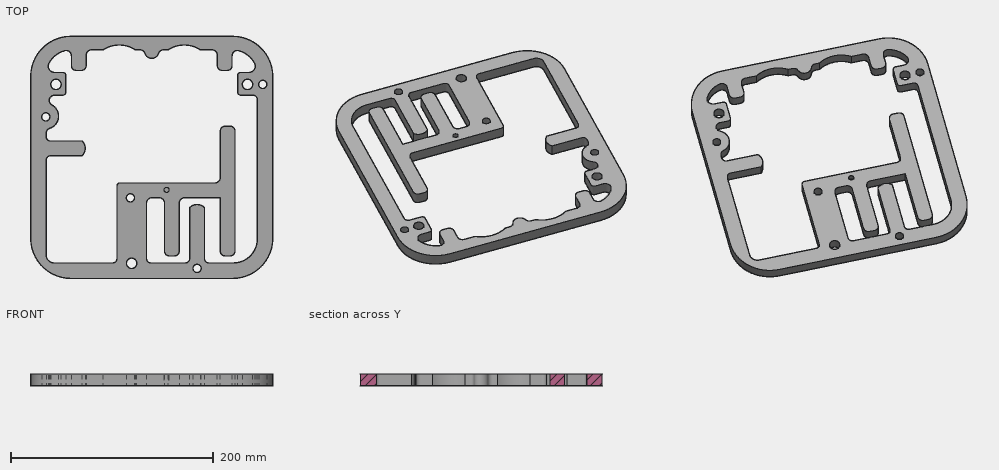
import cadquery as cq

SIDE = 240.0
THICKNESS = 12.0
OUTER_RADIUS = 40.0
WALL = 15.5
TOP_WALL = 13.7
INNER = SIDE / 2 - WALL
CEILING = SIDE / 2 - TOP_WALL
TOP_CORNER_RADIUS = OUTER_RADIUS - WALL
BOTTOM_RIGHT_RADIUS = 23.5
BOTTOM_LEFT_RADIUS = 7.7

FINGER = 15.0
TIP_RADIUS = 5.0
ARCHED_TIP_RADIUS = 10.0
ROOT_RADIUS = 4.0
WIDE_ROOT_RADIUS = 5.0
CORNER_RADIUS = 3.0
EMBED = 2.5
ROOT_LINE = -INNER - EMBED

TOP_FINGER_X = 72.2
TOP_FINGER_END = 86.0
TAB_END_X = 85.0
TAB_TOP = 84.2
TAB_BOTTOM = 61.5
POCKET_RADIUS = 6.0
SCALLOP_X = 32.2
SCALLOP_RADIUS = 29.5
SCALLOP_APEX = 111.0
NUB_RADIUS = 7.2
NUB_END = 98.0
NUB_FILLET = 4.8

BOSS_X = -105.0
BOSS_Y = 40.8
BOSS_RADIUS = 12.7
HOLLOW_RADIUS = 5.0
ARM_Y = 9.0
ARM_END_X = -65.8

BLOCK_LEFT = -34.5
BLOCK_RIGHT = -5.0
BAR_TOP = -25.2
BAR_BOTTOM = BAR_TOP - FINGER
HANGING_X = 20.0
LONG_X = 75.0
LONG_TOP = 31.0
FINGER_BOTTOM = -97.7
RISING_X = 45.0
RISING_TOP = -46.5

LARGE_HOLE = 10.0
SMALL_HOLE = 8.0
LARGE_HOLES = [(-94.8, 72.2), (94.8, 72.2), (-20.0, -105.0)]
SMALL_HOLES = [(BOSS_X, 40.0), (110.0, 72.2), (-21.0, -40.0), (RISING_X, -110.0)]
BLIND_HOLE = 5.0
BLIND_DEPTH = 6.0
BLIND_POINT = (14.6, -32.2)


def block(x0, x1, y0, y1):
    """Full-thickness box between two X and two Y limits."""
    return cq.Workplane().box(x1 - x0, y1 - y0, THICKNESS, centered=False).translate((x0, y0, 0))


def disc(x, y, radius):
    return cq.Workplane().center(x, y).circle(radius).extrude(THICKNESS)


def arched_finger(length):
    """Finger lying along +X from the origin, ending in a shallow arc."""
    half_width = FINGER / 2
    arc_rise = ARCHED_TIP_RADIUS - (ARCHED_TIP_RADIUS**2 - half_width**2) ** 0.5
    shoulder = length - arc_rise
    outline = cq.Workplane().moveTo(0, -half_width).lineTo(shoulder, -half_width)
    outline = outline.threePointArc((length, 0), (shoulder, half_width)).lineTo(0, half_width)
    return outline.close().extrude(THICKNESS)


def round_edges(body, radius, points):
    """Fillet the vertical edges standing at the given XY points."""
    for x, y in points:
        nearest = cq.selectors.NearestToPointSelector((x, y, THICKNESS / 2))
        body = body.edges("|Z").edges(nearest).fillet(radius)
    return body


def mirrored(points):
    return points + [(-x, y) for x, y in points]


opening = block(-INNER, INNER, -INNER, CEILING)
opening = round_edges(opening, TOP_CORNER_RADIUS, mirrored([(INNER, CEILING)]))
opening = round_edges(opening, BOTTOM_RIGHT_RADIUS, [(INNER, -INNER)])
opening = round_edges(opening, BOTTOM_LEFT_RADIUS, [(-INNER, -INNER)])
for x in (-SCALLOP_X, SCALLOP_X):
    opening = opening.union(disc(x, SCALLOP_APEX - SCALLOP_RADIUS, SCALLOP_RADIUS))

frame = cq.Workplane().rect(SIDE, SIDE).extrude(THICKNESS).edges("|Z").fillet(OUTER_RADIUS)
frame = frame.cut(opening)

half = FINGER / 2
for x in (-TOP_FINGER_X, TOP_FINGER_X):
    frame = frame.union(block(x - half, x + half, TOP_FINGER_END, CEILING + EMBED))
frame = frame.union(block(ROOT_LINE, -TAB_END_X, TAB_BOTTOM, TAB_TOP))
frame = frame.union(block(TAB_END_X, INNER + EMBED, TAB_BOTTOM, TAB_TOP))
frame = frame.union(disc(0, NUB_END + NUB_RADIUS, NUB_RADIUS))

frame = frame.union(disc(BOSS_X, BOSS_Y, BOSS_RADIUS))
arm = arched_finger(ARM_END_X - ROOT_LINE)
frame = frame.union(arm.translate((ROOT_LINE, ARM_Y, 0)))

frame = frame.union(block(BLOCK_LEFT, BLOCK_RIGHT, ROOT_LINE, BAR_TOP))
frame = frame.union(block(BLOCK_LEFT, LONG_X, BAR_BOTTOM, BAR_TOP))
frame = frame.union(block(HANGING_X - half, HANGING_X + half, FINGER_BOTTOM, BAR_TOP))
frame = frame.union(block(LONG_X - half, LONG_X + half, FINGER_BOTTOM, LONG_TOP))
rising = arched_finger(RISING_TOP - ROOT_LINE).rotate((0, 0, 0), (0, 0, 1), 90)
frame = frame.union(rising.translate((RISING_X, ROOT_LINE, 0)))
frame = frame.clean()

tips = mirrored([(TOP_FINGER_X - half, TOP_FINGER_END), (TOP_FINGER_X + half, TOP_FINGER_END)])
for side in (-half, half):
    tips += [(HANGING_X + side, FINGER_BOTTOM), (LONG_X + side, FINGER_BOTTOM), (LONG_X + side, LONG_TOP)]
frame = round_edges(frame, TIP_RADIUS, tips)

boss_reach = (BOSS_RADIUS**2 - (INNER + BOSS_X) ** 2) ** 0.5
wide_roots = mirrored([(TOP_FINGER_X - half, CEILING), (TOP_FINGER_X + half, CEILING)])
wide_roots += [(LONG_X - half, BAR_TOP), (BLOCK_RIGHT, BAR_BOTTOM)]
wide_roots += [(HANGING_X - half, BAR_BOTTOM), (HANGING_X + half, BAR_BOTTOM)]
wide_roots += [(-INNER, BOSS_Y - boss_reach)]
frame = round_edges(frame, WIDE_ROOT_RADIUS, wide_roots)

frame = round_edges(frame, POCKET_RADIUS, mirrored([(INNER, TAB_TOP)]))

roots = [(INNER, TAB_BOTTOM), (-INNER, ARM_Y - half), (-INNER, ARM_Y + half)]
roots += [(BLOCK_LEFT, -INNER), (BLOCK_RIGHT, -INNER)]
roots += [(RISING_X - half, -INNER), (RISING_X + half, -INNER)]
frame = round_edges(frame, ROOT_RADIUS, roots)

nub_reach = (NUB_RADIUS**2 - (CEILING - NUB_END - NUB_RADIUS) ** 2) ** 0.5
frame = round_edges(frame, NUB_FILLET, mirrored([(nub_reach, CEILING)]))

corners = mirrored([(TAB_END_X, TAB_TOP), (TAB_END_X, TAB_BOTTOM)]) + [(BLOCK_LEFT, BAR_TOP)]
frame = round_edges(frame, CORNER_RADIUS, corners)

hollow_y = TAB_BOTTOM - HOLLOW_RADIUS
hollow_x = BOSS_X + ((BOSS_RADIUS + HOLLOW_RADIUS) ** 2 - (hollow_y - BOSS_Y) ** 2) ** 0.5
web_outline = [
    (ROOT_LINE, BOSS_Y),
    (BOSS_X, BOSS_Y),
    (hollow_x, hollow_y),
    (hollow_x, TAB_BOTTOM),
    (ROOT_LINE, TAB_BOTTOM),
]
web = cq.Workplane().polyline(web_outline).close().extrude(THICKNESS)
frame = frame.union(web.cut(disc(hollow_x, hollow_y, HOLLOW_RADIUS)))

top_plane = cq.Workplane(origin=(0, 0, THICKNESS))
frame = frame.cut(top_plane.pushPoints(LARGE_HOLES).circle(LARGE_HOLE / 2).extrude(-THICKNESS))
frame = frame.cut(top_plane.pushPoints(SMALL_HOLES).circle(SMALL_HOLE / 2).extrude(-THICKNESS))
frame = frame.cut(top_plane.pushPoints([BLIND_POINT]).circle(BLIND_HOLE / 2).extrude(-BLIND_DEPTH))

result = frame